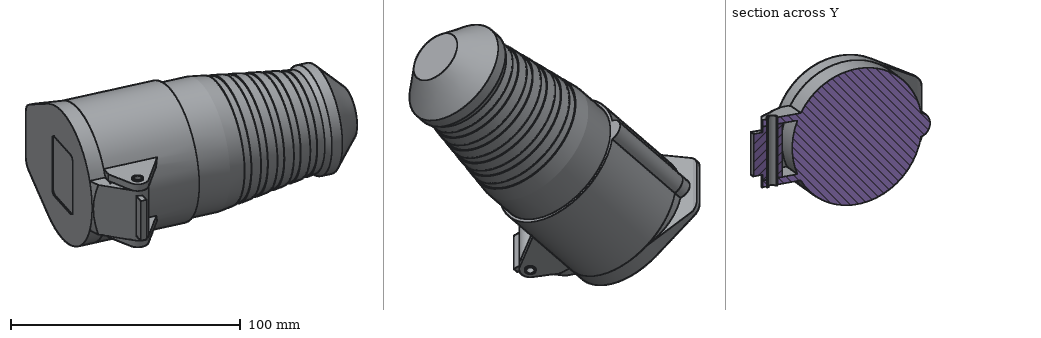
import cadquery as cq
import math


total_length = 135.0
housing_radius = 31.7

lid_depth = 7.4
housing_end = 51.0
taper_start = 66.4
taper_end = 114.6
collar_start = 117.3
collar_end = 122.3

grip_radius = 30.2
neck_radius = 23.2
collar_radius = 49.5 / 2
tip_radius = 12.2
groove_count = 5
groove_pitch = 8.4
groove_width = 3.5
groove_depth = 0.5
first_groove = 73.8

rib_radius = 11.5 / 2
rib_reach = 35.6

hinge_x = 41.3
hinge_y = 17.4
knuckle_radius = 4.9
pin_diameter = 5.0
pin_bore = 3.5
pin_length = 32.4
ear_outer_z = 15.8
ear_inner_z = 12.4
ear_root_x = 24.3
ear_root_top = 35.1
ear_foot_x = 32.5
arm_root_x = 27.0
arm_toe_x = 32.1
arm_heel_x = 34.5
arm_chamfer_width = 10.8
arm_chamfer_slope = 0.45
tab_end_x = 50.5
tab_bottom = 14.8
tab_thickness = 2.7
tab_width = 20.0

flap_reach = 39.2
flap_angle = 61.4
flap_corner_radius = 6.0
flap_edge_thickness = 2.2
flap_slope_x = -37.1
recess_width = 22.0
recess_height = 29.7
recess_corner = 2.4
recess_depth = 0.5


def at_y(y):
    """Workplane facing +Y at the given station; its local axes are -X and Z."""
    return cq.Workplane(cq.Plane(origin=(0, y, 0), xDir=(-1, 0, 0), normal=(0, 1, 0)))


def plate_xy(profile, z_low, z_high):
    """Closed XY polygon turned into a plate between two heights."""
    return cq.Workplane("XY").workplane(offset=z_low).polyline(profile).close().extrude(z_high - z_low)


def round_xy(diameter, length):
    """Cylinder on the hinge axis, centred on Z = 0."""
    return cq.Workplane("XY").center(hinge_x, hinge_y).circle(diameter / 2).extrude(length / 2, both=True)


def knuckle_tangent(x, y, side):
    """Point where a line from (x, y) touches the knuckle circle; side +1 is left of the centre, -1 right."""
    distance = math.hypot(hinge_x - x, hinge_y - y)
    spread = math.asin(knuckle_radius / distance)
    heading = math.atan2(hinge_y - y, hinge_x - x) + side * spread
    run = distance * math.cos(spread)
    return (x + run * math.cos(heading), y + run * math.sin(heading))


def ribbed_cylinder(y_start, y_end):
    """Length of the housing section: a round body with the half-round rib on its -X side."""
    length = y_end - y_start
    body = at_y(y_start).circle(housing_radius).extrude(length)
    rib = at_y(y_start).center(rib_reach - rib_radius, 0).circle(rib_radius).extrude(length)
    return body.union(rib)


def make_grip():
    """Turned cable grip with sloped grooves around its taper."""
    taper = (grip_radius - neck_radius) / (taper_end - taper_start)

    def taper_radius(y):
        return grip_radius - taper * (y - taper_start)

    profile = [(0, housing_end), (grip_radius, housing_end), (grip_radius, taper_start)]
    for i in range(groove_count):
        low = first_groove + i * groove_pitch
        high = low + groove_width
        profile += [
            (taper_radius(low), low),
            (taper_radius(low) - groove_depth, low),
            (taper_radius(high) - groove_depth, high),
            (taper_radius(high), high),
        ]
    profile += [
        (neck_radius, taper_end),
        (collar_radius, collar_start),
        (collar_radius, collar_end),
        (tip_radius, total_length),
        (0, total_length),
    ]
    return cq.Workplane("XY").polyline(profile).close().revolve(360, (0, 0), (0, 1))


def make_housing():
    """Ribbed barrel with two hinge ears."""
    housing = ribbed_cylinder(lid_depth, housing_end)
    ear_profile = [
        (ear_root_x, lid_depth),
        (ear_foot_x, lid_depth),
        knuckle_tangent(ear_foot_x, lid_depth, -1),
        (hinge_x, hinge_y),
        knuckle_tangent(ear_root_x, ear_root_top, 1),
        (ear_root_x, ear_root_top),
    ]
    knuckle = round_xy(2 * knuckle_radius, 2 * ear_outer_z).cut(round_xy(2 * knuckle_radius, 2 * ear_inner_z))
    housing = housing.union(knuckle)
    for z_low in (ear_inner_z, -ear_outer_z):
        housing = housing.union(plate_xy(ear_profile, z_low, z_low + ear_outer_z - ear_inner_z))
    return housing.cut(round_xy(pin_diameter, 2 * ear_outer_z))


def make_flap():
    """Finger flap: straight sides tangent to the lid, thinning towards its -X edge."""
    angle = math.radians(flap_angle)
    side_x = housing_radius * math.cos(angle)
    side_z = housing_radius * math.sin(angle)
    corner_z = (housing_radius - flap_reach * math.cos(angle)) / math.sin(angle)
    outline = [(side_x, side_z), (flap_reach, corner_z), (flap_reach, -corner_z), (side_x, -side_z)]
    flap = at_y(0).polyline(outline).close().extrude(lid_depth)
    flap = flap.edges("|Y").edges("<X").fillet(flap_corner_radius)
    wedge_profile = [
        (-side_x, 0),
        (-flap_reach, 0),
        (-flap_reach, flap_edge_thickness),
        (flap_slope_x, flap_edge_thickness),
        (-side_x, lid_depth),
    ]
    return flap.intersect(plate_xy(wedge_profile, -housing_radius, housing_radius))


def make_lid_arm():
    """Hinge arm between the ears, with its knuckle, a conical lead-in at the lid face and a finger tab."""
    arm_profile = [
        (arm_root_x, 0),
        (arm_toe_x, 0),
        knuckle_tangent(arm_toe_x, 0, -1),
        (hinge_x, hinge_y),
        knuckle_tangent(arm_heel_x, lid_depth, 1),
        (arm_heel_x, lid_depth),
        (arm_root_x, lid_depth),
    ]
    chamfer_radius = housing_radius + arm_chamfer_width
    chamfer_profile = [
        (housing_radius, 0),
        (chamfer_radius, 0),
        (chamfer_radius, arm_chamfer_slope * arm_chamfer_width),
    ]
    chamfer_ring = cq.Workplane("XY").polyline(chamfer_profile).close().revolve(360, (0, 0), (0, 1))
    arm = plate_xy(arm_profile, -ear_inner_z, ear_inner_z).cut(chamfer_ring)
    arm = arm.union(round_xy(2 * knuckle_radius, 2 * ear_inner_z))
    tab = cq.Workplane("XY").box(tab_end_x - hinge_x, tab_thickness, tab_width, centered=(False, False, True))
    arm = arm.union(tab.translate((hinge_x, tab_bottom, 0)))
    return arm.cut(round_xy(pin_diameter, 2 * ear_inner_z))


def make_lid():
    """Round lid with rib end, finger flap, hinge arm and a shallow label recess in its face."""
    recess = at_y(0).rect(recess_width, recess_height).extrude(recess_depth)
    recess = recess.edges("|Y").fillet(recess_corner)
    lid = ribbed_cylinder(0, lid_depth).union(make_flap()).union(make_lid_arm())
    return lid.cut(recess)


def make_pin():
    """Hollow hinge pin, standing slightly proud of both ears."""
    return round_xy(pin_diameter, pin_length).cut(round_xy(pin_bore, pin_length))


grip = make_grip()
housing = make_housing()
lid = make_lid()
pin = make_pin()

result = cq.Compound.makeCompound([body.solids().val() for body in (grip, housing, lid, pin)])